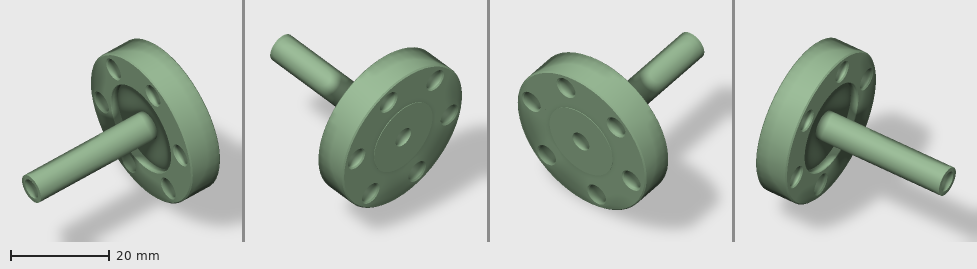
import cadquery as cq
import math

TOTAL_LENGTH = 35.7
FLANGE_DIAMETER = 34.0
FLANGE_THICKNESS = 7.5
RIM_CHAMFER = 0.3

BORE_DIAMETER = 20.0
BORE_CHAMFER = 0.1
HUB_RECESS = 1.8
BOSS_DIAMETER = 16.55
BOSS_PROJECTION = 0.1

TUBE_DIAMETER = 6.35
TUBE_BORE_DIAMETER = 4.4

BOLT_COUNT = 6
BOLT_HOLE_DIAMETER = 4.4
BOLT_CIRCLE_DIAMETER = 27.0
BOLT_START_ANGLE = 12.6
BOLT_HOLE_CHAMFER = 0.3

BACK_Y = TOTAL_LENGTH / 2
TUBE_END_Y = BACK_Y - TOTAL_LENGTH
FLANGE_BACK_Y = BACK_Y - BOSS_PROJECTION
FLANGE_FRONT_Y = FLANGE_BACK_Y - FLANGE_THICKNESS
HUB_FRONT_Y = FLANGE_FRONT_Y + HUB_RECESS


def cylinder(diameter, start_y, end_y):
    """Solid cylinder on the Y axis between two Y positions."""
    return (
        cq.Workplane("XZ", origin=(0, end_y, 0))
        .circle(diameter / 2)
        .extrude(end_y - start_y)
    )


def bolt_hole_cutter():
    """Through hole on the Y axis, widened by a chamfer at both flange faces."""
    radius = BOLT_HOLE_DIAMETER / 2
    mouth_radius = radius + BOLT_HOLE_CHAMFER
    return (
        cq.Workplane("XY")
        .moveTo(0, FLANGE_FRONT_Y)
        .lineTo(mouth_radius, FLANGE_FRONT_Y)
        .lineTo(radius, FLANGE_FRONT_Y + BOLT_HOLE_CHAMFER)
        .lineTo(radius, FLANGE_BACK_Y - BOLT_HOLE_CHAMFER)
        .lineTo(mouth_radius, FLANGE_BACK_Y)
        .lineTo(0, FLANGE_BACK_Y)
        .close()
        .revolve(360, (0, 0, 0), (0, 1, 0))
    )


def make_flange():
    """Outer ring with chamfered rims, a central bore and a circle of bolt holes."""
    flange = cylinder(FLANGE_DIAMETER, FLANGE_FRONT_Y, FLANGE_BACK_Y)
    flange = flange.faces("<Y or >Y").edges().chamfer(RIM_CHAMFER)

    bore = cylinder(BORE_DIAMETER, FLANGE_FRONT_Y, FLANGE_BACK_Y)
    flange = flange.cut(bore)
    flange = flange.faces("<Y").edges(cq.selectors.RadiusNthSelector(0)).chamfer(BORE_CHAMFER)

    for index in range(BOLT_COUNT):
        angle = math.radians(BOLT_START_ANGLE + index * 360 / BOLT_COUNT)
        x = BOLT_CIRCLE_DIAMETER / 2 * math.cos(angle)
        z = BOLT_CIRCLE_DIAMETER / 2 * math.sin(angle)
        flange = flange.cut(bolt_hole_cutter().translate((x, 0, z)))
    return flange


def make_hub():
    """Disc filling the flange bore behind the recess, with a low boss at the back and a tube hole."""
    disc = cylinder(BORE_DIAMETER, HUB_FRONT_Y, FLANGE_BACK_Y)
    boss = cylinder(BOSS_DIAMETER, FLANGE_BACK_Y, BACK_Y)
    hub = disc.union(boss)
    return hub.cut(cylinder(TUBE_DIAMETER, HUB_FRONT_Y, BACK_Y))


def make_tube():
    """Tube running from its free end to the back of the hub."""
    tube = cylinder(TUBE_DIAMETER, TUBE_END_Y, BACK_Y)
    return tube.cut(cylinder(TUBE_BORE_DIAMETER, TUBE_END_Y, BACK_Y))


flange = make_flange()
hub = make_hub()
tube = make_tube()

result = cq.Compound.makeCompound([flange.val(), hub.val(), tube.val()])